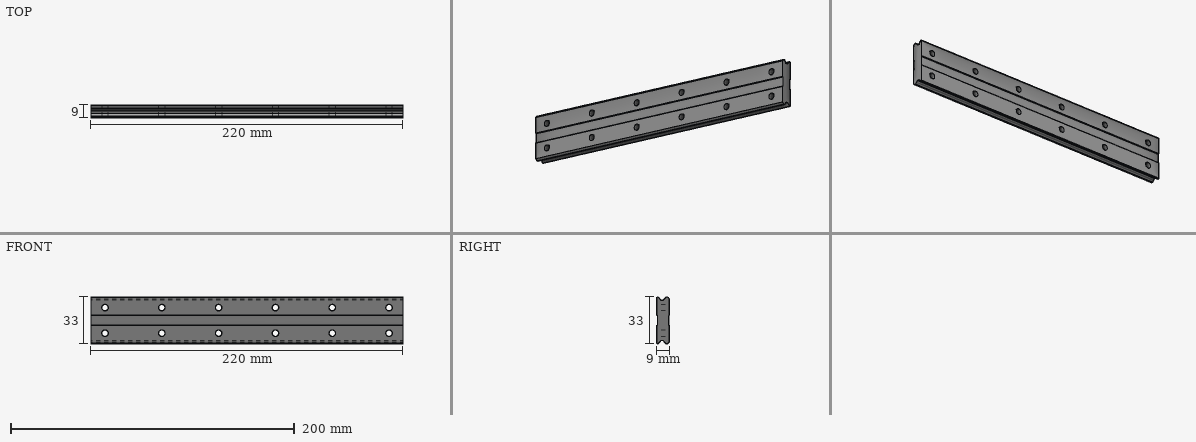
import cadquery as cq

length = 220.0
thickness = 9.0
height = 33.0

ridge_chamfer = 1.3
ridge_top_end = 2.5
ridge_shoulder = 3.5
ridge_wall_foot = 4.5
groove_end = 6.0
groove_depth = 2.2

lip_width = 1.0
lip_chamfer = 0.5

channel_width = 7.5
channel_floor_width = 6.5
channel_depth = 0.5

hole_diameter = 4.5
hole_count = 6
hole_pitch = 40.0
row_spacing = 18.0

half_height = height / 2
rear = thickness / 2
front = -thickness / 2


def make_rail():
    """Extrude the cross-section, symmetric about the mid-height plane, along X."""
    ridge_drop = ridge_shoulder - ridge_top_end
    upper = [
        (front + channel_depth, channel_floor_width / 2),
        (front, channel_width / 2),
        (front, half_height - lip_chamfer),
        (front + lip_chamfer, half_height),
        (front + lip_width, half_height),
        (rear - groove_end, half_height - groove_depth),
        (rear - ridge_wall_foot, half_height - groove_depth),
        (rear - ridge_shoulder, half_height - ridge_drop),
        (rear - ridge_top_end, half_height),
        (rear - ridge_chamfer, half_height),
        (rear, half_height - ridge_chamfer),
        (rear, channel_width / 2),
        (rear - channel_depth, channel_floor_width / 2),
    ]
    lower = [(y, -z) for y, z in reversed(upper)]
    section = cq.Workplane("YZ").polyline(upper + lower).close()
    return section.extrude(length / 2, both=True)


def make_holes():
    """Cylinders along Y for both rows of holes."""
    return (
        cq.Workplane("XZ")
        .rarray(hole_pitch, row_spacing, hole_count, 2)
        .circle(hole_diameter / 2)
        .extrude(thickness, both=True)
    )


result = make_rail().cut(make_holes())